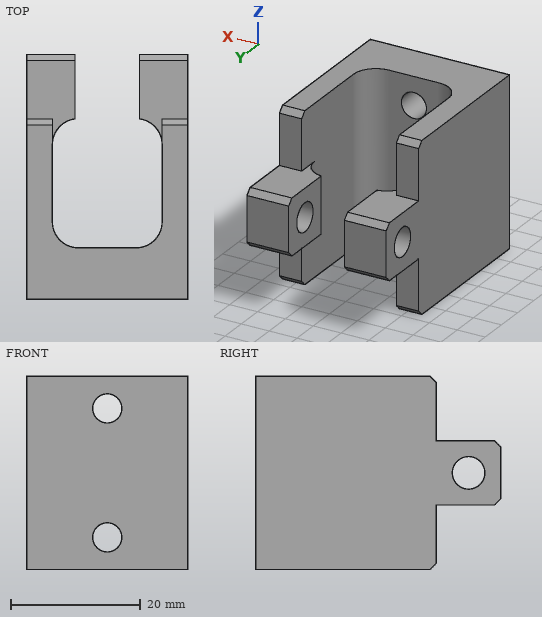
import cadquery as cq

width = 25.0
length = 38.0
height = 30.0

ear_length = 10.0
ear_height = 10.0
ear_gap = 10.0
ear_hole_diameter = 5.0

front_wall = 8.0
pocket_width = 17.0
pocket_radius = 8.0 / 2

mount_hole_diameter = 4.5
mount_hole_spacing = 20.0
edge_chamfer = 1.0

body_length = length - ear_length
pocket_length = body_length - front_wall


def box_from(y_start, size_x, size_y, size_z):
    """Box centred on X and Z, starting at y_start and running toward +Y."""
    return cq.Workplane("XY").box(size_x, size_y, size_z, centered=(True, False, True)).translate((0, y_start, 0))


def body():
    """U-shaped body whose channel is open at the back."""
    block = box_from(0, width, body_length, height)
    block = block.faces(">Y").edges("|X").chamfer(edge_chamfer)
    channel = box_from(front_wall, pocket_width, length, height)
    channel = channel.faces("<Y").edges("|Z").fillet(pocket_radius)
    return block.cut(channel)


def ears():
    """Middle band with rounded inner corners, carrying the two ears."""
    band = box_from(front_wall, width, length - front_wall, ear_height)
    band = band.faces(">Y").edges("|X").chamfer(edge_chamfer)
    pocket = box_from(front_wall, pocket_width, pocket_length, height)
    pocket = pocket.edges("|Z").fillet(pocket_radius)
    gap = box_from(front_wall + pocket_length / 2, ear_gap, length, height)
    return band.cut(pocket).cut(gap)


def ear_hole():
    """Cross hole along X through both ears."""
    return (
        cq.Workplane("YZ")
        .center(length - ear_length / 2, 0)
        .circle(ear_hole_diameter / 2)
        .extrude(width / 2, both=True)
    )


def mount_holes():
    """Two holes along Y through the front wall."""
    half_spacing = mount_hole_spacing / 2
    return (
        cq.Workplane("XZ")
        .pushPoints([(0, -half_spacing), (0, half_spacing)])
        .circle(mount_hole_diameter / 2)
        .extrude(-body_length)
    )


result = body().union(ears()).cut(ear_hole()).cut(mount_holes())